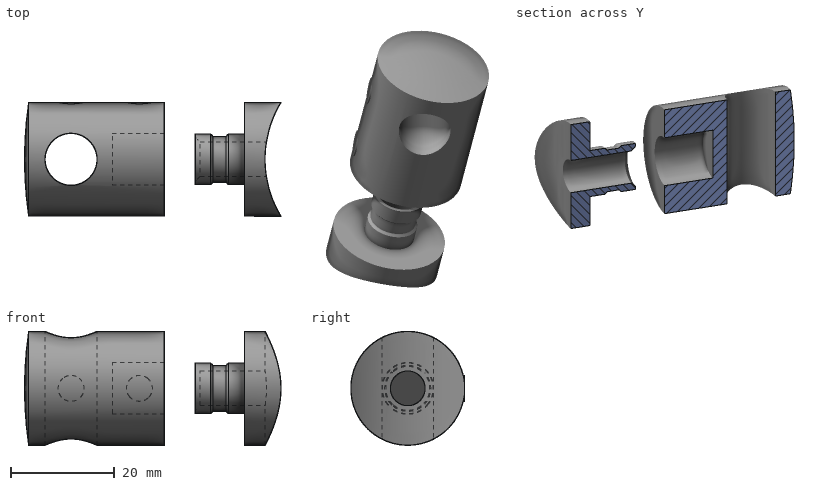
import cadquery as cq
import math

outer_diameter = 22.0
outer_radius = outer_diameter / 2
overall_length = 49.54

holder_length = 27.0
dome_radius = 75.0
bar_hole_diameter = 10.0
bar_hole_x = 9.0
stem_bore_diameter = 10.0
stem_bore_depth = 10.0
screw_diameter = 5.0
screw_head_height = 1.0

stem_diameter = 9.8
stem_length = 9.5
groove_diameter = 8.9
groove_floor_width = 2.5
groove_to_flange = 4.8
flange_thickness = 4.0
saddle_radius = 21.2
bolt_hole_diameter = 6.7
countersink_diameter = 8.5


def arc_height(radius, half_chord):
    """Height of a circular arc above its chord."""
    return radius - math.sqrt(radius**2 - half_chord**2)


dome_height = arc_height(dome_radius, outer_radius)
saddle_depth = arc_height(saddle_radius, outer_radius)
flange_x = overall_length - saddle_depth - flange_thickness
stem_tip_x = flange_x - stem_length


def make_holder():
    half_radius = outer_radius / 2
    holder = (
        cq.Workplane("XY")
        .threePointArc((arc_height(dome_radius, half_radius), half_radius), (dome_height, outer_radius))
        .lineTo(holder_length, outer_radius)
        .lineTo(holder_length, 0)
        .close()
        .revolve(360, (0, 0, 0), (1, 0, 0))
    )

    bar_hole = (
        cq.Workplane("XY")
        .center(bar_hole_x, 0)
        .circle(bar_hole_diameter / 2)
        .extrude(outer_radius, both=True)
    )

    stem_bore = (
        cq.Workplane("YZ", origin=(holder_length, 0, 0))
        .circle(stem_bore_diameter / 2)
        .extrude(-stem_bore_depth)
    )

    groove_screw_x = holder_length - groove_to_flange
    screw_heads = (
        cq.Workplane("XZ", origin=(0, outer_radius, 0))
        .pushPoints([(bar_hole_x, 0), (groove_screw_x, 0)])
        .circle(screw_diameter / 2)
        .extrude(screw_head_height)
    )
    return holder.union(screw_heads).cut(bar_hole).cut(stem_bore)


def make_plug():
    stem_radius = stem_diameter / 2
    groove_radius = groove_diameter / 2
    groove_depth = stem_radius - groove_radius
    groove_x = flange_x - groove_to_flange
    floor_half = groove_floor_width / 2
    mouth_half = floor_half + groove_depth
    plug = (
        cq.Workplane("XY")
        .moveTo(stem_tip_x, 0)
        .lineTo(stem_tip_x, stem_radius)
        .lineTo(groove_x - mouth_half, stem_radius)
        .lineTo(groove_x - floor_half, groove_radius)
        .lineTo(groove_x + floor_half, groove_radius)
        .lineTo(groove_x + mouth_half, stem_radius)
        .lineTo(flange_x, stem_radius)
        .lineTo(flange_x, outer_radius)
        .lineTo(overall_length, outer_radius)
        .lineTo(overall_length, 0)
        .close()
        .revolve(360, (0, 0, 0), (1, 0, 0))
    )

    post = (
        cq.Workplane("XY")
        .center(flange_x + flange_thickness + saddle_radius, 0)
        .circle(saddle_radius)
        .extrude(outer_diameter, both=True)
    )

    bolt_hole_radius = bolt_hole_diameter / 2
    countersink_radius = countersink_diameter / 2
    countersink_depth = countersink_radius - bolt_hole_radius
    bolt_hole = (
        cq.Workplane("XY")
        .moveTo(stem_tip_x, 0)
        .lineTo(stem_tip_x, countersink_radius)
        .lineTo(stem_tip_x + countersink_depth, bolt_hole_radius)
        .lineTo(overall_length, bolt_hole_radius)
        .lineTo(overall_length, 0)
        .close()
        .revolve(360, (0, 0, 0), (1, 0, 0))
    )
    return plug.cut(post).cut(bolt_hole)


holder = make_holder()
plug = make_plug()
result = cq.Compound.makeCompound([holder.val(), plug.val()])